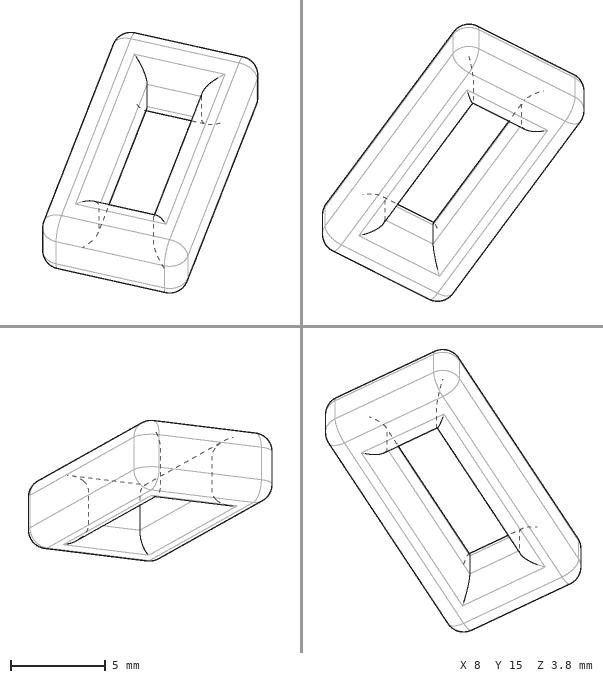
import cadquery as cq

WIDTH = 8.0
LENGTH = 15.0
HEIGHT = 3.8

WINDOW_WIDTH = 3.0
WINDOW_LENGTH = 9.0

EDGE_RADIUS = 1.0


def rounded_block():
    """Block with every edge rounded, giving spherical corners."""
    return cq.Workplane("XY").box(WIDTH, LENGTH, HEIGHT).edges().fillet(EDGE_RADIUS)


def cut_window(body):
    """Cut the sharp-cornered opening and round its top and bottom rims."""
    window = cq.Workplane("XY").box(WINDOW_WIDTH, WINDOW_LENGTH, HEIGHT)
    opened = body.cut(window)
    reach = EDGE_RADIUS / 2
    around_window = cq.selectors.BoxSelector(
        (-WINDOW_WIDTH / 2 - reach, -WINDOW_LENGTH / 2 - reach, -HEIGHT),
        (WINDOW_WIDTH / 2 + reach, WINDOW_LENGTH / 2 + reach, HEIGHT),
    )
    return opened.faces("<Z or >Z").edges(around_window).fillet(EDGE_RADIUS)


result = cut_window(rounded_block())